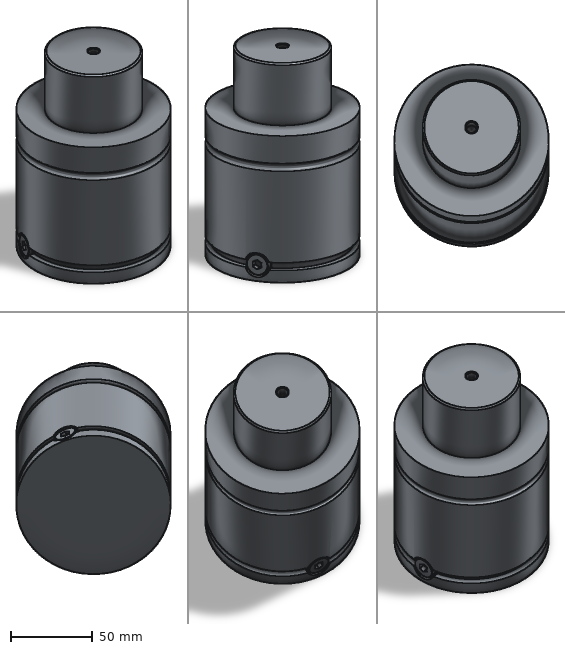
import cadquery as cq
import math

total_height = 138.0
body_diameter = 95.0
body_height = 97.0
rod_diameter = 60.0
rod_chamfer = 1.1

upper_groove_bottom = 73.7
upper_groove_top = 78.7

lower_groove_bottom = 8.1
lower_groove_top = 13.2
lower_groove_depth = 3.7

hole_diameter = 6.8
hole_mouth_diameter = 8.0
hole_depth = 12.4
drill_tip_angle = 118.0

port_diameter = 16.0
port_depth = 6.2
plug_diameter = 14.0
plug_recess = 0.5
plug_chamfer = 0.4
socket_across_flats = 5.4
socket_depth = 4.1

body_radius = body_diameter / 2
rod_radius = rod_diameter / 2
port_height = (lower_groove_bottom + lower_groove_top) / 2


def make_cylinder_body():
    """Body with the narrower piston rod on top."""
    body = cq.Workplane("XY").circle(body_radius).extrude(body_height)
    rod = (
        cq.Workplane("XY")
        .circle(rod_radius)
        .extrude(total_height)
        .faces(">Z")
        .chamfer(rod_chamfer)
    )
    return body.union(rod)


def make_upper_groove():
    """Ring with a half-round section centred on the body surface."""
    middle = (upper_groove_bottom + upper_groove_top) / 2
    floor_radius = body_radius - (upper_groove_top - upper_groove_bottom) / 2
    return (
        cq.Workplane("XZ")
        .moveTo(body_radius, upper_groove_bottom)
        .threePointArc((floor_radius, middle), (body_radius, upper_groove_top))
        .close()
        .revolve(360, (0, 0, 0), (0, 1, 0))
    )


def make_lower_groove():
    """Ring with a square section."""
    return (
        cq.Workplane("XY", origin=(0, 0, lower_groove_bottom))
        .circle(body_radius)
        .circle(body_radius - lower_groove_depth)
        .extrude(lower_groove_top - lower_groove_bottom)
    )


def make_rod_hole():
    """Countersunk blind hole with a conical drill tip."""
    radius = hole_diameter / 2
    mouth_radius = hole_mouth_diameter / 2
    wall_bottom = total_height - hole_depth
    tip_height = radius / math.tan(math.radians(drill_tip_angle / 2))
    return (
        cq.Workplane("XZ")
        .moveTo(0, total_height)
        .lineTo(mouth_radius, total_height)
        .lineTo(radius, total_height - (mouth_radius - radius))
        .lineTo(radius, wall_bottom)
        .lineTo(0, wall_bottom - tip_height)
        .close()
        .revolve(360, (0, 0, 0), (0, 1, 0))
    )


def side_plane(recess):
    """Plane at the port axis, facing -Y, set in from the body surface."""
    return cq.Workplane("XZ", origin=(0, recess - body_radius, port_height))


def make_plug():
    """Chamfered round plug with a hexagon socket, two corners on the vertical."""
    plug = (
        side_plane(plug_recess)
        .circle(plug_diameter / 2)
        .extrude(plug_recess - port_depth)
        .faces("<Y")
        .chamfer(plug_chamfer)
    )
    across_corners = socket_across_flats / math.cos(math.pi / 6)
    socket = (
        side_plane(plug_recess)
        .transformed(rotate=(0, 0, 90))
        .polygon(6, across_corners)
        .extrude(-socket_depth)
    )
    return plug.cut(socket)


port = side_plane(0).circle(port_diameter / 2).extrude(-port_depth)

result = (
    make_cylinder_body()
    .cut(make_upper_groove())
    .cut(make_lower_groove())
    .cut(make_rod_hole())
    .cut(port)
    .union(make_plug())
)